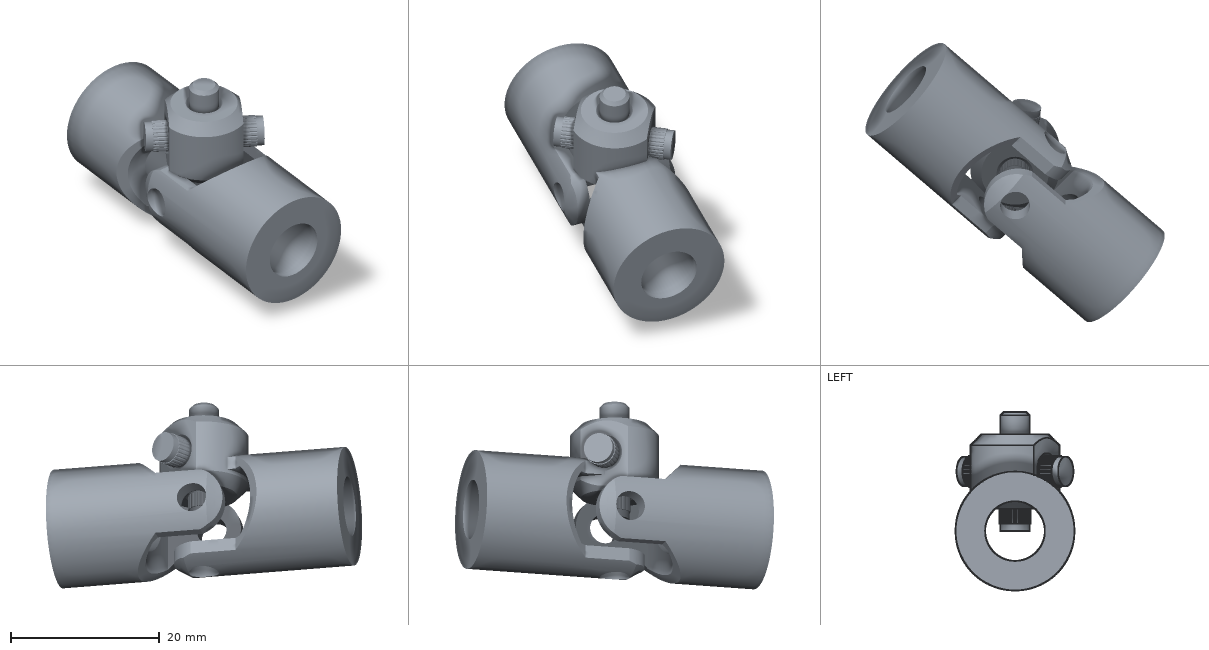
import cadquery as cq
import math


yoke_length = 20.0
outer_radius = 8.0
shaft_bore_radius = 4.0
ear_half_width = 4.3
taper_start = 8.9
ear_tip_reach = 4.0
ear_tip_radius = 4.55
tip_cone_start = 2.0
tip_cone_drop = 1.15
fork_root_radius = 7.85

block_half_size = 5.0
block_radius = 6.0
block_chamfer = 1.5
block_lift = 8.0
cross_pin_angle = 58.5
countersink_radius = 2.5

pin_radius = 2.0
pin_reach = 8.0
pin_chamfer = 0.5
knurl_length = 2.0
knurl_root_radius = 2.05
knurl_radius = 2.1
knurl_count = 24
knurl_crest_share = 0.5


def make_yoke():
    """Yoke with its shank toward -X and its ears above and below the X axis."""
    side_edge_x = taper_start - (outer_radius - ear_half_width)
    tip_centre_x = ear_tip_reach - ear_tip_radius
    tip_start_x = tip_centre_x + math.sqrt(ear_tip_radius**2 - ear_half_width**2)

    body = (
        cq.Workplane("XZ")
        .moveTo(-yoke_length, 0)
        .lineTo(-yoke_length, outer_radius)
        .lineTo(tip_cone_start, outer_radius)
        .lineTo(ear_tip_reach, outer_radius - tip_cone_drop)
        .lineTo(ear_tip_reach, 0)
        .close()
        .revolve(360, (0, 0, 0), (1, 0, 0))
    )

    outline = (
        cq.Workplane("XY")
        .workplane(offset=-outer_radius)
        .moveTo(-yoke_length, -outer_radius)
        .lineTo(-taper_start, -outer_radius)
        .lineTo(-side_edge_x, -ear_half_width)
        .lineTo(tip_start_x, -ear_half_width)
        .threePointArc((ear_tip_reach, 0), (tip_start_x, ear_half_width))
        .lineTo(-side_edge_x, ear_half_width)
        .lineTo(-taper_start, outer_radius)
        .lineTo(-yoke_length, outer_radius)
        .close()
        .extrude(2 * outer_radius)
    )
    body = body.intersect(outline)

    ear_gap = (
        cq.Workplane("XZ")
        .rect(2 * fork_root_radius, 2 * block_half_size)
        .extrude(outer_radius, both=True)
    )
    round_root = cq.Workplane("XZ").circle(fork_root_radius).extrude(outer_radius, both=True)
    body = body.cut(ear_gap.intersect(round_root))

    shaft_bore = (
        cq.Workplane("YZ")
        .workplane(offset=-yoke_length)
        .circle(shaft_bore_radius)
        .extrude(yoke_length)
    )
    ear_holes = cq.Workplane("XY").circle(pin_radius).extrude(outer_radius, both=True)
    return body.cut(shaft_bore).cut(ear_holes)


def to_cross_axis(shape):
    """Lay a shape made along Z down along the axis of the short pins."""
    return shape.rotate((0, 0, 0), (0, 1, 0), 90).rotate((0, 0, 0), (0, 0, 1), cross_pin_angle)


def make_pin_passage():
    """Through hole along Z with a 45 degree countersink at both ends."""
    bore_end = block_half_size - (countersink_radius - pin_radius)
    return (
        cq.Workplane("XZ")
        .moveTo(0, -block_half_size)
        .lineTo(countersink_radius, -block_half_size)
        .lineTo(pin_radius, -bore_end)
        .lineTo(pin_radius, bore_end)
        .lineTo(countersink_radius, block_half_size)
        .lineTo(0, block_half_size)
        .close()
        .revolve(360, (0, 0, 0), (0, 1, 0))
    )


def make_block():
    """Chamfered cylinder with two flats and two crossing pin passages."""
    block = (
        cq.Workplane("XY")
        .circle(block_radius)
        .extrude(block_half_size, both=True)
        .faces("|Z")
        .chamfer(block_chamfer)
    )
    between_flats = cq.Workplane("XY").box(
        2 * block_radius, 2 * block_radius, 2 * block_half_size
    )
    passage = make_pin_passage()
    return (
        block.intersect(to_cross_axis(between_flats))
        .cut(passage)
        .cut(to_cross_axis(passage))
    )


def make_knurl():
    """Ring of straight teeth that stands on the outer face of the block, along +Z."""
    pitch = 2 * math.pi / knurl_count
    crest_half_angle = knurl_crest_share * pitch / 2
    points = []
    for tooth in range(knurl_count):
        groove_angle = tooth * pitch
        crest_angle = groove_angle + pitch / 2
        for radius, angle in (
            (knurl_root_radius, groove_angle),
            (knurl_radius, crest_angle - crest_half_angle),
            (knurl_radius, crest_angle + crest_half_angle),
        ):
            points.append((radius * math.cos(angle), radius * math.sin(angle)))
    return (
        cq.Workplane("XY")
        .workplane(offset=block_half_size)
        .polyline(points)
        .close()
        .extrude(knurl_length)
    )


def make_pin(inner_end):
    """Pin along +Z from inner_end to its outer end, knurled outside the block."""
    shank = (
        cq.Workplane("XY")
        .workplane(offset=inner_end)
        .circle(pin_radius)
        .extrude(pin_reach - inner_end)
    )
    return shank.union(make_knurl())


def make_long_pin():
    """Pin through the whole block, knurled at the bottom and chamfered at the top."""
    pin = make_pin(-pin_reach).faces("<Z").chamfer(pin_chamfer)
    return pin.rotate((0, 0, 0), (1, 0, 0), 180)


def make_short_pin(turn):
    """Cross pin that reaches in to the side of the long pin."""
    return to_cross_axis(make_pin(pin_radius)).rotate((0, 0, 0), (0, 0, 1), turn)


left_yoke = make_yoke()
right_yoke = (
    make_yoke()
    .rotate((0, 0, 0), (0, 0, 1), 180)
    .rotate((0, 0, 0), (1, 0, 0), 90)
)

lift = (0, 0, block_lift)
block = make_block().translate(lift)
long_pin = make_long_pin().translate(lift)
short_pins = [make_short_pin(turn).translate(lift) for turn in (0, 180)]

result = cq.Compound.makeCompound([
    left_yoke.val(),
    right_yoke.val(),
    block.val(),
    long_pin.val(),
    *[pin.val() for pin in short_pins],
])